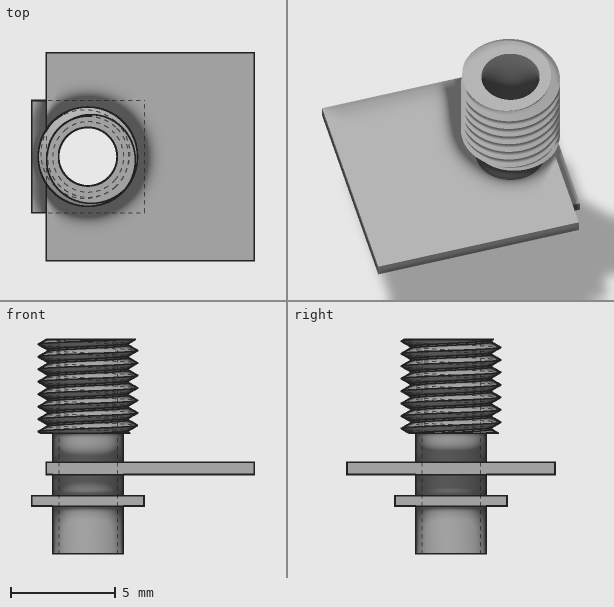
import cadquery as cq
import math

total_height = 10.3
tube_diameter = 3.4
bore_diameter = 2.8

large_plate_side = 10.0
large_plate_thickness = 0.6
large_plate_bottom = 3.81
overall_length = 10.7

small_plate_side = 5.4
small_plate_thickness = 0.5
small_plate_bottom = 2.3

thread_length = 4.5
thread_pitch = 0.6
crest_radius = 2.39
root_radius = 1.95
flank_angle = 30
crest_below_top = 0.24
root_overlap = 0.03

large_plate_center_x = overall_length - small_plate_side / 2 - large_plate_side / 2
thread_bottom = total_height - thread_length


def cylinder(radius, bottom, height):
    return cq.Workplane("XY").workplane(offset=bottom).circle(radius).extrude(height)


def square_plate(side, thickness, bottom, center_x=0):
    return (
        cq.Workplane("XY", origin=(center_x, 0, bottom))
        .rect(side, side)
        .extrude(thickness)
    )


def thread_ridge():
    """Right-handed V ridge running past both ends of the threaded length."""
    turns = math.ceil(thread_length / thread_pitch) + 2
    start_z = total_height - crest_below_top - (turns - 1) * thread_pitch
    base_radius = root_radius - root_overlap
    half_width = (crest_radius - base_radius) * math.tan(math.radians(flank_angle))
    path = cq.Wire.makeHelix(thread_pitch, turns * thread_pitch, root_radius)
    ridge = (
        cq.Workplane("XZ")
        .moveTo(base_radius, -half_width)
        .lineTo(crest_radius, 0)
        .lineTo(base_radius, half_width)
        .close()
        .sweep(cq.Workplane(path), isFrenet=True)
    )
    return ridge.rotate((0, 0, 0), (0, 0, 1), 180).translate((0, 0, start_z))


def threaded_section():
    core = cylinder(root_radius, thread_bottom, thread_length)
    envelope = cylinder(2 * crest_radius, thread_bottom, thread_length)
    return core.union(thread_ridge().intersect(envelope))


tube = cylinder(tube_diameter / 2, 0, total_height)
large_plate = square_plate(
    large_plate_side, large_plate_thickness, large_plate_bottom, large_plate_center_x
)
small_plate = square_plate(small_plate_side, small_plate_thickness, small_plate_bottom)
bore = cylinder(bore_diameter / 2, 0, total_height)

result = tube.union(large_plate).union(small_plate).union(threaded_section()).cut(bore)